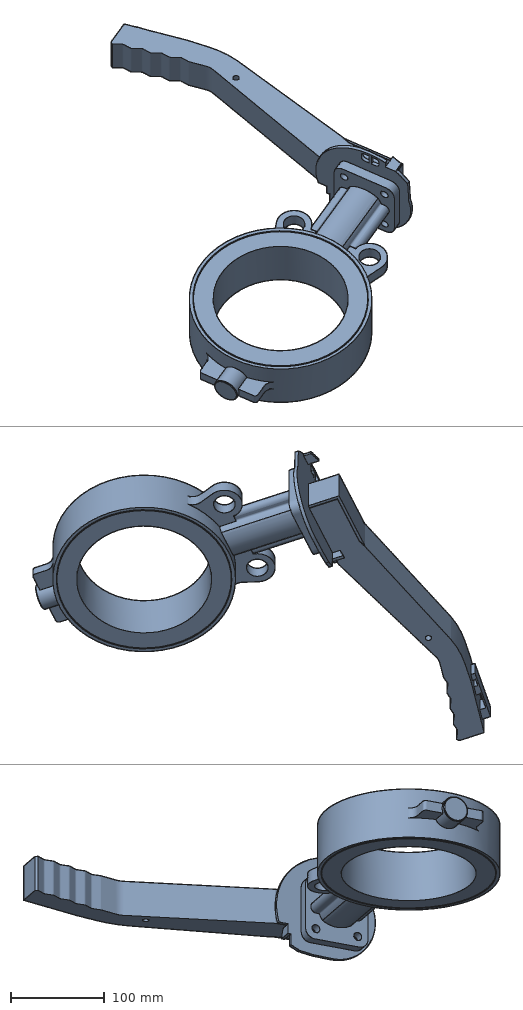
import cadquery as cq
import math


OVERALL_LENGTH = 432.5

RING_DIAMETER = 195.0
RING_WIDTH = 56.2
BORE_DIAMETER = 144.0
GROOVE_INNER_DIAMETER = 186.0
GROOVE_OUTER_DIAMETER = 187.5
GROOVE_DEPTH = 1.0

EAR_X = 46.5
EAR_Y = 111.5
EAR_RADIUS = 19.0
EAR_HOLE_DIAMETER = 23.0
EAR_THICKNESS = 14.3
EAR_WEB_TOP_Y = 114.5
EAR_FLANK_ANGLE = 20.0
EAR_FLANK_LENGTH = 16.5
EAR_FOOT_X = 64.0

LUG_WIDTH = 70.0
LUG_THICKNESS = 11.2
LUG_END_Y = -115.0
LUG_CORNER_RADIUS = 3.5
LUG_FLARE_START_Y = -98.0
LUG_FOOT_X = 41.0
PIN_DIAMETER = 28.0
PIN_END_Y = -120.0
PIN_CHAMFER = 1.0

FLANGE_SIZE = 73.5
FLANGE_BOTTOM_Y = 182.0
FLANGE_TOP_Y = 193.5
FLANGE_CORNER_RADIUS = 11.0
FLANGE_HOLE_DIAMETER = 9.0
FLANGE_HOLE_SPACING = 49.5

NECK_CROWN_Z = 18.5
NECK_CROWN_HALF_WIDTH = 14.3
NECK_SHOULDER_Z = 15.0
NECK_CORE_RADIUS = 21.5
NECK_CORE_TOP_X = 17.0
NECK_COVE_START_X = 20.5
NECK_COVE_END_X = 22.5
NECK_COVE_RADIUS = 2.0
NECK_RIB_HALF_THICKNESS = 6.5
NECK_RIB_REACH = 30.7
NECK_RIB_TIP_LENGTH = 5.0

PLATE_TOP_Y = 197.5
PLATE_LARGE_RADIUS = 65.8
PLATE_STEP_RADIUS = 64.0
PLATE_SMALL_RADIUS = 50.5
PLATE_LARGE_ARC_MIDDLE_ANGLE = 135.0
PLATE_STEP_ARC_ANGLES = (51.0, 43.0)
PLATE_STEP_FOOT = (47.5, 29.0)
PLATE_SMALL_ARC_ANGLES = (18.0, -40.0, -90.0)
PLATE_BOTTOM_CORNERS = ((-22.0, -50.0), (-39.0, -48.0))
PLATE_BOTTOM_LEFT_Z = -43.3
NOTCH_LEFT_X = 19.5
NOTCH_RIGHT_X = 32.0
NOTCH_Z = 56.0
SLOT_CENTER_X = 1.0
SLOT_CENTER_Z = 56.5
SLOT_LENGTH = 21.5
SLOT_HEIGHT = 11.5
SLOT_CORNER_RADIUS = 4.5
SLOT_WEB = 3.0
TAB_THICKNESS = 3.5
TAB_HIGH_Y = 210.0
TAB_LOW_Y = 206.0
LOWER_TAB_X = -52.5
LOWER_TAB_BOTTOM_Z = -30.7
LOWER_TAB_TOP_Z = -19.5

LEVER_THICKNESS = 40.0
LEVER_END_X = RING_DIAMETER / 2 - OVERALL_LENGTH
LEVER_HUB_X = 19.0
LEVER_HUB_TOP_Y = 232.8
LEVER_HUB_LEFT_X = -54.5
LEVER_HEEL_X = -65.5
LEVER_TIP_Y = 226.3
BACK_BEND = ((-205.5, 270.0), (-224.0, 272.0), (-241.5, 271.3))
FRONT_BEND = ((-230.5, 246.5), (-226.0, 247.0), (-221.0, 246.0))
RIM_WIDTH = 3.0
RIM_TAPER_LENGTH = 9.0
RIM_DEPTH = 1.0
GRIP_CREST_COUNT = 5
GRIP_FIRST_CREST = (-332.3, 224.0)
GRIP_PITCH = (20.8, 4.8)
GRIP_ROOT_OFFSET = (10.0, 5.5)
GRIP_EDGE_RADIUS = 3.5
LEVER_HOLE_CENTER = (-194.3, 248.5)
LEVER_HOLE_DIAMETER = 6.5

BAR_WIDTH = 17.5
BAR_LEFT_X = -326.0
BAR_RIGHT_X = -265.0
BAR_LEFT_TOP_Y = 266.0
BAR_RIGHT_TOP_Y = 273.0
BAR_ROOF = 1.7
BAR_WINDOWS = ((-313.0, -293.0), (-281.5, -273.5))
GRIP_BACK_LEFT = (LEVER_END_X, 255.0)
GRIP_BACK_RIGHT = (BAR_RIGHT_X, 268.2)


def on_circle(radius, x):
    """Upper point of an origin-centred circle at a given x."""
    return (x, math.sqrt(radius**2 - x**2))


def polar(radius, degrees):
    angle = math.radians(degrees)
    return (radius * math.cos(angle), radius * math.sin(angle))


def slab(thickness):
    """XY workplane from which a profile extruded by `thickness` is centred on Z = 0."""
    return cq.Workplane("XY").workplane(offset=-thickness / 2)


def y_section(y_top):
    """XZ workplane at y_top; extruding goes towards -Y."""
    return cq.Workplane("XZ", origin=(0, y_top, 0))


def make_ring():
    ring = slab(RING_WIDTH).circle(RING_DIAMETER / 2).extrude(RING_WIDTH)
    groove = (
        cq.Workplane("XY")
        .workplane(offset=RING_WIDTH / 2 - GROOVE_DEPTH)
        .circle(GROOVE_OUTER_DIAMETER / 2)
        .circle(GROOVE_INNER_DIAMETER / 2)
        .extrude(GROOVE_DEPTH)
    )
    return ring.cut(groove).cut(groove.mirror("XY"))


def make_ear():
    """Right-hand ear, with its web reaching the neck centre line."""
    web_drop = EAR_WEB_TOP_Y - EAR_Y
    web_end = (EAR_X - math.sqrt(EAR_RADIUS**2 - web_drop**2), EAR_WEB_TOP_Y)
    normal = polar(1, -EAR_FLANK_ANGLE)
    flank_top = (EAR_X + EAR_RADIUS * normal[0], EAR_Y + EAR_RADIUS * normal[1])
    flank_end = (
        flank_top[0] + EAR_FLANK_LENGTH * normal[1],
        flank_top[1] - EAR_FLANK_LENGTH * normal[0],
    )
    ear = (
        slab(EAR_THICKNESS)
        .moveTo(0, EAR_WEB_TOP_Y)
        .lineTo(*web_end)
        .threePointArc((EAR_X, EAR_Y + EAR_RADIUS), flank_top)
        .lineTo(*flank_end)
        .tangentArcPoint(on_circle(RING_DIAMETER / 2, EAR_FOOT_X), relative=False)
        .lineTo(0, 0)
        .close()
        .extrude(EAR_THICKNESS)
    )
    hole = slab(EAR_THICKNESS).center(EAR_X, EAR_Y).circle(EAR_HOLE_DIAMETER / 2).extrude(EAR_THICKNESS)
    return ear.cut(hole)


def make_bottom_lug():
    foot_x, foot_y = on_circle(RING_DIAMETER / 2, LUG_FOOT_X)
    right_half = (
        slab(LUG_THICKNESS)
        .moveTo(0, LUG_END_Y)
        .lineTo(LUG_WIDTH / 2 - LUG_CORNER_RADIUS, LUG_END_Y)
        .radiusArc((LUG_WIDTH / 2, LUG_END_Y + LUG_CORNER_RADIUS), -LUG_CORNER_RADIUS)
        .lineTo(LUG_WIDTH / 2, LUG_FLARE_START_Y)
        .tangentArcPoint((foot_x, -foot_y), relative=False)
        .lineTo(0, 0)
        .close()
        .extrude(LUG_THICKNESS)
    )
    pin = y_section(0).circle(PIN_DIAMETER / 2).extrude(-PIN_END_Y).faces("<Y").chamfer(PIN_CHAMFER)
    return right_half.union(right_half.mirror("YZ")).union(pin)


def make_flange():
    depth = FLANGE_TOP_Y - FLANGE_BOTTOM_Y
    flange = y_section(FLANGE_TOP_Y).rect(FLANGE_SIZE, FLANGE_SIZE).extrude(depth)
    flange = flange.edges("|Y").fillet(FLANGE_CORNER_RADIUS)
    holes = (
        y_section(FLANGE_TOP_Y)
        .rect(FLANGE_HOLE_SPACING, FLANGE_HOLE_SPACING, forConstruction=True)
        .vertices()
        .circle(FLANGE_HOLE_DIAMETER / 2)
        .extrude(depth)
    )
    return flange.cut(holes)


def make_neck():
    tip_radius = (NECK_RIB_TIP_LENGTH**2 + NECK_RIB_HALF_THICKNESS**2) / (2 * NECK_RIB_TIP_LENGTH)
    right_side = (
        y_section(FLANGE_BOTTOM_Y)
        .moveTo(-NECK_CROWN_HALF_WIDTH, NECK_SHOULDER_Z)
        .threePointArc((0, NECK_CROWN_Z), (NECK_CROWN_HALF_WIDTH, NECK_SHOULDER_Z))
        .lineTo(*on_circle(NECK_CORE_RADIUS, NECK_CORE_TOP_X))
        .radiusArc(on_circle(NECK_CORE_RADIUS, NECK_COVE_START_X), NECK_CORE_RADIUS)
        .radiusArc((NECK_COVE_END_X, NECK_RIB_HALF_THICKNESS), -NECK_COVE_RADIUS)
        .lineTo(NECK_RIB_REACH - NECK_RIB_TIP_LENGTH, NECK_RIB_HALF_THICKNESS)
        .radiusArc((NECK_RIB_REACH, 0), tip_radius)
        .lineTo(-NECK_CROWN_HALF_WIDTH, 0)
        .close()
        .extrude(FLANGE_BOTTOM_Y - BORE_DIAMETER / 2)
    )
    upper = right_side.union(right_side.mirror("YZ"))
    return upper.union(upper.mirror("XY"))


def make_plate():
    thickness = PLATE_TOP_Y - FLANGE_TOP_Y
    large_arc_middle = polar(PLATE_LARGE_RADIUS, PLATE_LARGE_ARC_MIDDLE_ANGLE)
    step_arc = [polar(PLATE_STEP_RADIUS, angle) for angle in PLATE_STEP_ARC_ANGLES]
    small_arc = [polar(PLATE_SMALL_RADIUS, angle) for angle in PLATE_SMALL_ARC_ANGLES]
    tab_inner_x = LOWER_TAB_X + TAB_THICKNESS
    arc_start_x = math.sqrt(PLATE_LARGE_RADIUS**2 - LOWER_TAB_TOP_Z**2)
    plate = (
        y_section(PLATE_TOP_Y)
        .moveTo(-arc_start_x, LOWER_TAB_TOP_Z)
        .threePointArc(large_arc_middle, on_circle(PLATE_LARGE_RADIUS, NOTCH_LEFT_X))
        .lineTo(NOTCH_LEFT_X, NOTCH_Z)
        .lineTo(NOTCH_RIGHT_X, NOTCH_Z)
        .threePointArc(*step_arc)
        .lineTo(*PLATE_STEP_FOOT)
        .lineTo(*small_arc[0])
        .threePointArc(*small_arc[1:])
        .lineTo(*PLATE_BOTTOM_CORNERS[0])
        .lineTo(*PLATE_BOTTOM_CORNERS[1])
        .lineTo(tab_inner_x, PLATE_BOTTOM_LEFT_Z)
        .lineTo(tab_inner_x, LOWER_TAB_BOTTOM_Z)
        .lineTo(LOWER_TAB_X, LOWER_TAB_BOTTOM_Z)
        .lineTo(LOWER_TAB_X, LOWER_TAB_TOP_Z)
        .close()
        .extrude(thickness)
    )
    slot = y_section(PLATE_TOP_Y).center(SLOT_CENTER_X, SLOT_CENTER_Z)
    slot = slot.rect(SLOT_LENGTH, SLOT_HEIGHT).extrude(thickness).edges("|Y").fillet(SLOT_CORNER_RADIUS)
    web = y_section(PLATE_TOP_Y).center(SLOT_CENTER_X, SLOT_CENTER_Z)
    web = web.rect(SLOT_WEB, SLOT_HEIGHT).extrude(thickness)
    return plate.cut(slot.cut(web))


def make_tabs():
    """Two stops bent up from the plate, each with a sloping top edge."""
    upper_tab = (
        cq.Workplane("XY")
        .workplane(offset=NOTCH_Z - TAB_THICKNESS)
        .moveTo(NOTCH_LEFT_X, FLANGE_TOP_Y)
        .lineTo(NOTCH_LEFT_X, TAB_HIGH_Y)
        .lineTo(NOTCH_RIGHT_X, TAB_LOW_Y)
        .lineTo(NOTCH_RIGHT_X, FLANGE_TOP_Y)
        .close()
        .extrude(TAB_THICKNESS)
    )
    lower_tab = (
        cq.Workplane("YZ", origin=(LOWER_TAB_X, 0, 0))
        .moveTo(FLANGE_TOP_Y, LOWER_TAB_BOTTOM_Z)
        .lineTo(TAB_HIGH_Y, LOWER_TAB_BOTTOM_Z)
        .lineTo(TAB_LOW_Y, LOWER_TAB_TOP_Z)
        .lineTo(FLANGE_TOP_Y, LOWER_TAB_TOP_Z)
        .close()
        .extrude(TAB_THICKNESS)
    )
    return upper_tab.union(lower_tab)


def grip_crest(tooth):
    return (
        GRIP_FIRST_CREST[0] + tooth * GRIP_PITCH[0],
        GRIP_FIRST_CREST[1] + tooth * GRIP_PITCH[1],
    )


def grip_points():
    """Finger teeth along the underside of the grip, from the free end inwards."""
    points = []
    for tooth in range(GRIP_CREST_COUNT - 1):
        crest = grip_crest(tooth)
        root = (crest[0] + GRIP_ROOT_OFFSET[0], crest[1] + GRIP_ROOT_OFFSET[1])
        points += [crest, root]
    return points + [grip_crest(GRIP_CREST_COUNT - 1)]


def make_lever():
    lever = (
        slab(LEVER_THICKNESS)
        .moveTo(LEVER_HUB_X, PLATE_TOP_Y)
        .lineTo(LEVER_HUB_X, LEVER_HUB_TOP_Y)
        .lineTo(LEVER_HUB_LEFT_X, LEVER_HUB_TOP_Y)
        .lineTo(*BACK_BEND[0])
        .threePointArc(*BACK_BEND[1:])
        .lineTo(*GRIP_BACK_RIGHT)
        .lineTo(*GRIP_BACK_LEFT)
        .lineTo(LEVER_END_X, LEVER_TIP_Y)
    )
    for point in grip_points():
        lever = lever.lineTo(*point)
    lever = (
        lever.lineTo(*FRONT_BEND[0])
        .threePointArc(*FRONT_BEND[1:])
        .lineTo(LEVER_HEEL_X, PLATE_TOP_Y)
        .close()
        .extrude(LEVER_THICKNESS)
    )
    for point in grip_points()[1:]:
        tooth_edge = cq.selectors.NearestToPointSelector((*point, 0))
        lever = lever.edges("|Z").edges(tooth_edge).fillet(GRIP_EDGE_RADIUS)
    hole = slab(LEVER_THICKNESS).center(*LEVER_HOLE_CENTER)
    return lever.cut(hole.circle(LEVER_HOLE_DIAMETER / 2).extrude(LEVER_THICKNESS))


def make_hub_rim():
    """Shallow rebate around the back and the end of the lever hub, on its +Z face."""
    return (
        cq.Workplane("XY")
        .workplane(offset=LEVER_THICKNESS / 2 - RIM_DEPTH)
        .moveTo(LEVER_HUB_X, PLATE_TOP_Y)
        .lineTo(LEVER_HUB_X, LEVER_HUB_TOP_Y)
        .lineTo(LEVER_HUB_LEFT_X, LEVER_HUB_TOP_Y)
        .lineTo(LEVER_HUB_LEFT_X + RIM_TAPER_LENGTH, LEVER_HUB_TOP_Y - RIM_WIDTH)
        .lineTo(LEVER_HUB_X - RIM_WIDTH, LEVER_HUB_TOP_Y - RIM_WIDTH)
        .lineTo(LEVER_HUB_X - RIM_WIDTH, PLATE_TOP_Y)
        .close()
        .extrude(RIM_DEPTH)
    )


def grip_back_y(x):
    """Height of the straight grip back at a given x."""
    slope = (GRIP_BACK_RIGHT[1] - GRIP_BACK_LEFT[1]) / (GRIP_BACK_RIGHT[0] - GRIP_BACK_LEFT[0])
    return GRIP_BACK_LEFT[1] + slope * (x - GRIP_BACK_LEFT[0])


def bar_top_y(x):
    slope = (BAR_RIGHT_TOP_Y - BAR_LEFT_TOP_Y) / (BAR_RIGHT_X - BAR_LEFT_X)
    return BAR_LEFT_TOP_Y + slope * (x - BAR_LEFT_X)


def bar_block(left_x, right_x, roof):
    """Block across the grip back whose top lies `roof` below the top of the bar."""
    corners = [
        (left_x, grip_back_y(left_x)),
        (left_x, bar_top_y(left_x) - roof),
        (right_x, bar_top_y(right_x) - roof),
        (right_x, grip_back_y(right_x)),
    ]
    return slab(BAR_WIDTH).polyline(corners).close().extrude(BAR_WIDTH)


def make_grip_bar():
    bar = bar_block(BAR_LEFT_X, BAR_RIGHT_X, 0)
    for left_x, right_x in BAR_WINDOWS:
        bar = bar.cut(bar_block(left_x, right_x, BAR_ROOF))
    return bar


ear = make_ear()
hub_rim = make_hub_rim()
bore = slab(RING_WIDTH).circle(BORE_DIAMETER / 2).extrude(RING_WIDTH)

body = make_ring().union(ear).union(ear.mirror("YZ")).union(make_bottom_lug()).union(make_neck())
body = body.union(make_flange()).cut(bore)
lever = make_lever().cut(hub_rim).cut(hub_rim.mirror("XY")).union(make_grip_bar())
result = body.union(make_plate()).union(make_tabs()).union(lever)